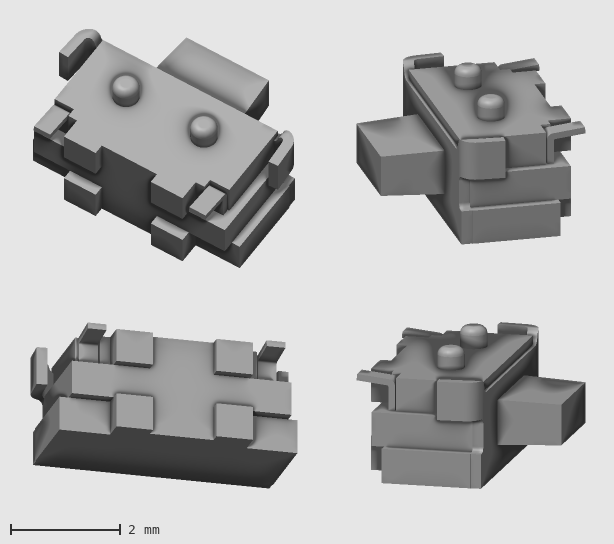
import cadquery as cq
import math


LOWER_TOP = 0.645
MIDDLE_TOP = 1.28
HOUSING_TOP = 1.905
LOWER_HALF_WIDTH = 2.25
MIDDLE_HALF_WIDTH = 2.08
UPPER_HALF_WIDTH = 1.905
REAR_Y = -1.9
SHOULDER_Y = -1.665
LIP_Y = 0.14

BLOCK_INNER_X = 0.6
BLOCK_OUTER_X = 1.295
BLOCK_REAR_Y = -2.105

PEG_DIAMETER = 0.5
PEG_X = 0.85
PEG_Y = -0.71
PEG_TOP = 2.3
PEG_FILLET = 0.15

TERMINAL_WIDTH = 0.355
TERMINAL_CLEARANCE = 0.035
TERMINAL_THICKNESS = 0.12
TERMINAL_TIP_Y = -2.23
TERMINAL_TIP_TOP = 1.925
TERMINAL_TILT = math.radians(6)
TERMINAL_OUTER_RADIUS = 0.11
TERMINAL_INNER_RADIUS = 0.035
NOTCH_Y = -1.48

COVER_THICKNESS = 0.2
COVER_HALF_WIDTH = 2.235
NECK_HALF_WIDTH = 2.06
NECK_FILLET = 0.1
EAR_TOP = 2.0
EAR_SPAN = 4.77
EAR_STRAIGHT = 0.505
EAR_SPLAY = math.radians(3.5)
BEND_INNER_RADIUS = 0.105
BEND_OUTER_RADIUS = BEND_INNER_RADIUS + COVER_THICKNESS
SWEEP_RADIUS = 0.175
SWEEP_ANGLE = math.radians(77)
SWEEP_INNER_X = 1.815

BUTTON_TIP_Y = 1.38
BUTTON_TIP_WIDTH = 1.805
BUTTON_TIP_HEIGHT = 0.765
BUTTON_Z = 0.955
BUTTON_SIDE_DRAFT = math.radians(4)
BUTTON_TOP_DRAFT = math.radians(2)


def box(x_min, x_max, y_min, y_max, z_min, z_max):
    """Box between the given limits."""
    return (
        cq.Workplane("XY", origin=(0, 0, z_min))
        .moveTo(x_min, y_min)
        .lineTo(x_max, y_min)
        .lineTo(x_max, y_max)
        .lineTo(x_min, y_max)
        .close()
        .extrude(z_max - z_min)
    )


def with_mirror(shape):
    """The shape together with its mirror image across X = 0."""
    return shape.union(shape.mirror("YZ"))


def polar(center, radius, angle):
    """Point at the given radius and angle from a centre."""
    return (center[0] + radius * math.cos(angle), center[1] + radius * math.sin(angle))


def make_button():
    """Drafted button, from the housing's front wall through the cover to its tip."""
    root_width = BUTTON_TIP_WIDTH + 2 * BUTTON_TIP_Y * math.tan(BUTTON_SIDE_DRAFT)
    root_height = BUTTON_TIP_HEIGHT + 2 * BUTTON_TIP_Y * math.tan(BUTTON_TOP_DRAFT)
    return (
        cq.Workplane("XZ", origin=(0, 0, BUTTON_Z))
        .rect(root_width, root_height)
        .workplane(offset=-BUTTON_TIP_Y)
        .rect(BUTTON_TIP_WIDTH, BUTTON_TIP_HEIGHT)
        .loft(ruled=True)
    )


def make_cover_elevation():
    """Right half of the cover's XZ outline, extruded over the depth of plate and ears."""
    rise = SWEEP_RADIUS * (1 - math.cos(SWEEP_ANGLE))
    run = SWEEP_RADIUS * math.sin(SWEEP_ANGLE)
    half_run = SWEEP_RADIUS * math.sin(SWEEP_ANGLE / 2)
    half_rise = SWEEP_RADIUS * (1 - math.cos(SWEEP_ANGLE / 2))
    plate_top = EAR_TOP - 2 * rise
    sweep_outer_x = SWEEP_INNER_X + 2 * run
    neck_center_x = NECK_HALF_WIDTH + NECK_FILLET
    neck_mid_x = neck_center_x - NECK_FILLET * math.cos(math.pi / 4)
    neck_mid_inset = NECK_FILLET * (1 - math.sin(math.pi / 4))
    depth = BEND_OUTER_RADIUS + 2 * EAR_STRAIGHT
    return (
        cq.Workplane("XZ", origin=(0, COVER_THICKNESS, 0))
        .moveTo(0, 0)
        .lineTo(COVER_HALF_WIDTH, 0)
        .lineTo(COVER_HALF_WIDTH, LOWER_TOP)
        .lineTo(neck_center_x, LOWER_TOP)
        .threePointArc((neck_mid_x, LOWER_TOP + neck_mid_inset), (NECK_HALF_WIDTH, LOWER_TOP + NECK_FILLET))
        .lineTo(NECK_HALF_WIDTH, MIDDLE_TOP - NECK_FILLET)
        .threePointArc((neck_mid_x, MIDDLE_TOP - neck_mid_inset), (neck_center_x, MIDDLE_TOP))
        .lineTo(EAR_SPAN / 2, MIDDLE_TOP)
        .lineTo(EAR_SPAN / 2, EAR_TOP)
        .lineTo(sweep_outer_x, EAR_TOP)
        .threePointArc((sweep_outer_x - half_run, EAR_TOP - half_rise), (SWEEP_INNER_X + run, EAR_TOP - rise))
        .threePointArc((SWEEP_INNER_X + half_run, plate_top + half_rise), (SWEEP_INNER_X, plate_top))
        .lineTo(0, plate_top)
        .close()
        .extrude(depth)
    )


def make_bent_strip():
    """Right half of the upper cover strip, bent back into an ear, over the ear's full height."""
    bend_x = (
        EAR_SPAN / 2
        - BEND_OUTER_RADIUS * math.cos(EAR_SPLAY)
        - EAR_STRAIGHT * math.sin(EAR_SPLAY)
    )
    center = (bend_x, -BEND_INNER_RADIUS)
    mid_angle = (math.pi / 2 + EAR_SPLAY) / 2
    outer_end = polar(center, BEND_OUTER_RADIUS, EAR_SPLAY)
    inner_end = polar(center, BEND_INNER_RADIUS, EAR_SPLAY)
    along_ear = EAR_SPLAY - math.pi / 2
    strip_bottom = MIDDLE_TOP - NECK_FILLET
    return (
        cq.Workplane("XY", origin=(0, 0, strip_bottom))
        .moveTo(0, 0)
        .lineTo(0, COVER_THICKNESS)
        .lineTo(bend_x, COVER_THICKNESS)
        .threePointArc(polar(center, BEND_OUTER_RADIUS, mid_angle), outer_end)
        .lineTo(*polar(outer_end, EAR_STRAIGHT, along_ear))
        .lineTo(*polar(inner_end, EAR_STRAIGHT, along_ear))
        .lineTo(*inner_end)
        .threePointArc(polar(center, BEND_INNER_RADIUS, mid_angle), (bend_x, 0))
        .close()
        .extrude(EAR_TOP - strip_bottom)
    )


def make_cover(button):
    """Front plate with two bent ears and the opening for the button."""
    flat_plate = box(0, COVER_HALF_WIDTH, 0, COVER_THICKNESS, 0, MIDDLE_TOP - NECK_FILLET)
    half_cover = flat_plate.union(make_bent_strip()).intersect(make_cover_elevation())
    return with_mirror(half_cover).cut(button)


def make_terminal():
    """Right terminal: an upright leg bent to the rear, its arm tilted slightly upwards."""
    leg_center_x = UPPER_HALF_WIDTH - TERMINAL_CLEARANCE - TERMINAL_WIDTH / 2
    leg_front_y = NOTCH_Y - TERMINAL_CLEARANCE
    leg_rear_y = leg_front_y - TERMINAL_THICKNESS
    slope = math.tan(TERMINAL_TILT)
    lower_tip_z = TERMINAL_TIP_TOP - TERMINAL_THICKNESS * math.cos(TERMINAL_TILT)
    upper_tip_y = TERMINAL_TIP_Y + TERMINAL_THICKNESS * math.sin(TERMINAL_TILT)
    outer_corner_z = TERMINAL_TIP_TOP - (leg_front_y - upper_tip_y) * slope
    inner_corner_z = lower_tip_z - (leg_rear_y - TERMINAL_TIP_Y) * slope
    strip = (
        cq.Workplane("YZ", origin=(leg_center_x, 0, 0))
        .moveTo(leg_front_y, MIDDLE_TOP)
        .lineTo(leg_front_y, outer_corner_z)
        .lineTo(upper_tip_y, TERMINAL_TIP_TOP)
        .lineTo(TERMINAL_TIP_Y, lower_tip_z)
        .lineTo(leg_rear_y, inner_corner_z)
        .lineTo(leg_rear_y, MIDDLE_TOP)
        .close()
        .extrude(TERMINAL_WIDTH / 2, both=True)
    )
    outer_corner = cq.selectors.NearestToPointSelector((leg_center_x, leg_front_y, outer_corner_z))
    inner_corner = cq.selectors.NearestToPointSelector((leg_center_x, leg_rear_y, inner_corner_z))
    return (
        strip.edges(outer_corner)
        .fillet(TERMINAL_OUTER_RADIUS)
        .edges(inner_corner)
        .fillet(TERMINAL_INNER_RADIUS)
    )


def make_rear_blocks(z_min, z_max):
    """Pair of blocks on the rear wall, over the given height."""
    return with_mirror(box(BLOCK_INNER_X, BLOCK_OUTER_X, BLOCK_REAR_Y, SHOULDER_Y, z_min, z_max))


def make_lower_layer():
    """Wide base with a stepped shoulder at each rear corner."""
    base = box(-LOWER_HALF_WIDTH, LOWER_HALF_WIDTH, SHOULDER_Y, 0, 0, LOWER_TOP)
    rear = box(-BLOCK_INNER_X, BLOCK_INNER_X, REAR_Y, SHOULDER_Y, 0, LOWER_TOP)
    return base.union(rear).union(make_rear_blocks(0, LOWER_TOP))


def make_upper_layer():
    """Narrow top with terminal notches and a lip that reaches over the cover's upper edge."""
    notch_inner_x = UPPER_HALF_WIDTH - TERMINAL_WIDTH - 2 * TERMINAL_CLEARANCE
    body = box(-UPPER_HALF_WIDTH, UPPER_HALF_WIDTH, NOTCH_Y, LIP_Y, MIDDLE_TOP, HOUSING_TOP)
    shoulder = box(-notch_inner_x, notch_inner_x, SHOULDER_Y, NOTCH_Y, MIDDLE_TOP, HOUSING_TOP)
    rear = box(-BLOCK_INNER_X, BLOCK_INNER_X, REAR_Y, SHOULDER_Y, MIDDLE_TOP, HOUSING_TOP)
    return body.union(shoulder).union(rear).union(make_rear_blocks(MIDDLE_TOP, HOUSING_TOP))


def make_pegs():
    """Two round pegs with rounded tops."""
    return (
        cq.Workplane("XY", origin=(0, 0, HOUSING_TOP))
        .pushPoints([(-PEG_X, PEG_Y), (PEG_X, PEG_Y)])
        .circle(PEG_DIAMETER / 2)
        .extrude(PEG_TOP - HOUSING_TOP)
        .faces(">Z")
        .edges()
        .fillet(PEG_FILLET)
    )


def make_housing(cover, button):
    """Three stacked layers with pegs and terminals, relieved where cover and button sit."""
    middle = box(-MIDDLE_HALF_WIDTH, MIDDLE_HALF_WIDTH, REAR_Y, 0, LOWER_TOP, MIDDLE_TOP)
    layers = make_lower_layer().union(middle).union(make_upper_layer())
    return layers.union(make_pegs()).union(with_mirror(make_terminal())).cut(cover).cut(button)


button = make_button()
cover = make_cover(button)
housing = make_housing(cover, button)

result = cq.Compound.makeCompound([body.solids().val() for body in (housing, cover, button)])